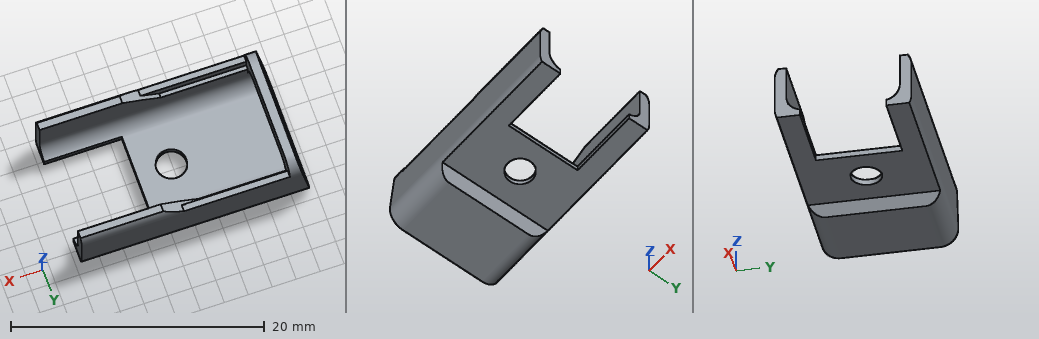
import cadquery as cq

length = 19.2
width = 11.0
height = 6.0
corner_radius = 1.5

front_lean = 1.0
lip_back = 1.8

side_wall = 0.95
opening_bottom = 1.29
opening_height = 3.38
opening_radius = 1.36
opening_width = width - 2 * side_wall

low_rail_height = 4.75
high_rail_height = 5.4
ramp_start = 10.65
ramp_end = 12.29

ledge_wall = 0.58
ledge_height = 3.97
ledge_ramp_start = 9.08

relief_depth = 0.79
relief_start = 5.88

notch_start = 12.71
notch_margin = 2.04
notch_width = width - 2 * notch_margin
hole_diameter = 2.5
hole_x = 9.8

overshoot = 0.96


def side_prism(points, prism_width):
    """Extrude an XZ outline symmetrically about the Y centre plane."""
    return cq.Workplane("XZ").polyline(points).close().extrude(prism_width / 2, both=True)


def box_between(x_start, x_end, box_width, z_start, z_end):
    """Make a box centred on Y between the given X and Z limits."""
    size = (x_end - x_start, box_width, z_end - z_start)
    return cq.Workplane("XY").box(*size, centered=(False, True, False)).translate((x_start, 0, z_start))


def rounded_bar(bar_width, bar_height, radius, bottom):
    """Make a full-length bar with its four long edges rounded."""
    return box_between(0, length, bar_width, bottom, bottom + bar_height).edges("|X").fillet(radius)


def sleeve_body():
    """Make the outer sleeve with a stepped top, sloping front and relieved underside."""
    side_outline = [
        (0, 0),
        (relief_start, 0),
        (relief_start + relief_depth, relief_depth),
        (length, relief_depth),
        (length, high_rail_height),
        (ramp_end, high_rail_height),
        (ramp_start, low_rail_height),
        (lip_back, low_rail_height),
        (lip_back, height),
        (front_lean, height),
    ]
    return rounded_bar(width, height, corner_radius, 0).intersect(side_prism(side_outline, width))


def channel_cutter():
    """Make the rounded opening plus the open channel above its mid height."""
    opening = rounded_bar(opening_width, opening_height, opening_radius, opening_bottom)
    mid_height = opening_bottom + opening_height / 2
    open_top = box_between(lip_back, length, opening_width, mid_height, height)
    return opening.union(open_top)


def ledge_cutter():
    """Make the cutter that leaves a ledge on both inner rail edges."""
    outline = [
        (lip_back, ledge_height),
        (ledge_ramp_start, ledge_height),
        (ramp_start, low_rail_height),
        (lip_back, low_rail_height),
    ]
    return side_prism(outline, width - 2 * ledge_wall)


def notch_cutter():
    """Make the rectangular cutter that opens the rear of the floor."""
    return box_between(notch_start, length + overshoot, notch_width, 0, height)


def hole_cutter():
    """Make the round cutter for the hole through the floor."""
    return cq.Workplane("XY").center(hole_x, 0).circle(hole_diameter / 2).extrude(height / 2)


result = (
    sleeve_body()
    .cut(channel_cutter())
    .cut(ledge_cutter())
    .cut(notch_cutter())
    .cut(hole_cutter())
)